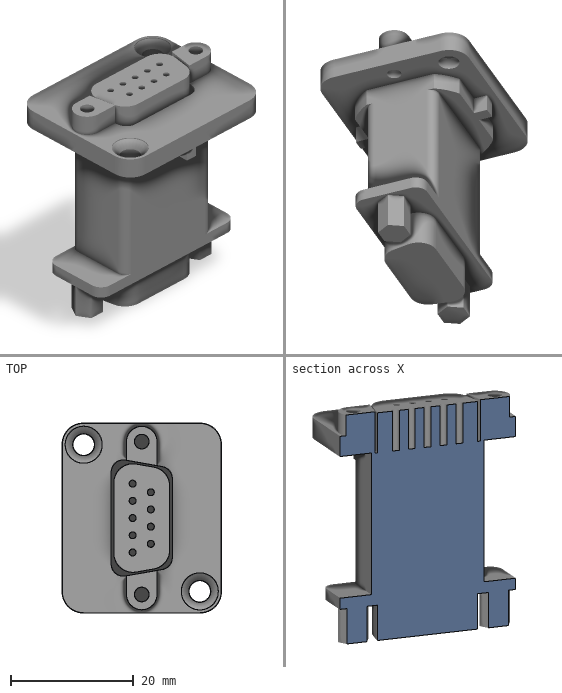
import cadquery as cq
import math

total_height = 39.0

flange_bottom = 6.0
flange_top = 8.0
collar_bottom = 29.05
plate_bottom = 31.98
plate_top = 35.5
insert_top = 38.75

plate_width = 26.0
plate_length = 31.0
plate_corner_radius = 3.5
screw_offset_x = 9.48
screw_offset_y = 11.97
screw_diameter = 3.5
countersink_diameter = 6.05
countersink_angle = 90.0
countersink_rim_depth = 0.15

collar_diameter = 23.32
collar_width = 18.6
key_width = 2.1

housing_width = 12.5
housing_length = 20.0
housing_corner_radius = 1.55
flange_length = 31.0
flange_corner_radius = 2.05

d_taper_angle = 10.0
insert_width = 9.13
insert_mean_length = 17.3
insert_corner_radius = 3.12
opening_width = 10.0
opening_mean_length = 17.98
opening_corner_radius = 2.0

fastener_spacing = 24.95
lug_width = 5.0
lug_hole_diameter = 2.38
hex_across_flats = 4.6

long_row_count = 5
short_row_count = 4
contact_diameter = 1.15
contact_pitch = 2.8
contact_row_spacing = 2.95

fastener_points = [(0, -fastener_spacing / 2), (0, fastener_spacing / 2)]


def level(height):
    """Workplane parallel to XY at the given height."""
    return cq.Workplane("XY", origin=(0, 0, height))


def block(width, length, bottom, top, corner_radius=0):
    """Box centred on the Z axis between two levels, with optional rounded corners."""
    box = level(bottom).rect(width, length).extrude(top - bottom)
    if corner_radius > 0:
        box = box.edges("|Z").fillet(corner_radius)
    return box


def cylinders(points, diameter, bottom, top):
    """Upright cylinders between two levels, one at each point."""
    return level(bottom).pushPoints(points).circle(diameter / 2).extrude(top - bottom)


def d_prism(width, mean_length, corner_radius, bottom, top):
    """Rounded D-shaped prism whose longer straight side faces -X."""
    taper = width / 2 * math.tan(math.radians(d_taper_angle))
    long_half = mean_length / 2 + taper
    short_half = mean_length / 2 - taper
    outline = [
        (-width / 2, -long_half),
        (width / 2, -short_half),
        (width / 2, short_half),
        (-width / 2, long_half),
    ]
    prism = level(bottom).polyline(outline).close().extrude(top - bottom)
    return prism.edges("|Z").fillet(corner_radius)


def make_screw_holes():
    """Through holes with a countersink that starts below a short straight rim."""
    points = [(-screw_offset_x, screw_offset_y), (screw_offset_x, -screw_offset_y)]
    cone_top = plate_top - countersink_rim_depth
    half_angle = math.radians(countersink_angle / 2)
    cone_depth = (countersink_diameter - screw_diameter) / 2 / math.tan(half_angle)
    holes = cylinders(points, screw_diameter, plate_bottom, plate_top)
    holes = holes.union(cylinders(points, countersink_diameter, cone_top, plate_top))
    cones = (
        level(cone_top)
        .pushPoints(points)
        .circle(countersink_diameter / 2)
        .extrude(-cone_depth, taper=countersink_angle / 2)
    )
    return holes.union(cones)


def make_lugs():
    """Round-ended bar across the plate; the D-shaped opening splits it into two lugs."""
    bar = level(plate_top).slot2D(fastener_spacing + lug_width, lug_width, 90)
    return bar.extrude(total_height - plate_top)


def make_panel():
    """Plate and lugs with the screw holes, lug holes and D-shaped opening cut out."""
    plate = block(plate_width, plate_length, plate_bottom, plate_top, plate_corner_radius)
    lug_holes = cylinders(fastener_points, lug_hole_diameter, plate_bottom, total_height)
    opening = d_prism(
        opening_width, opening_mean_length, opening_corner_radius, plate_bottom, total_height
    )
    return plate.union(make_lugs()).cut(make_screw_holes()).cut(lug_holes).cut(opening)


def make_collar():
    flats = block(collar_width, housing_length, collar_bottom, plate_bottom)
    keys = block(collar_diameter, key_width, collar_bottom, plate_bottom)
    disc = cylinders([(0, 0)], collar_diameter, collar_bottom, plate_bottom)
    return flats.union(keys).intersect(disc)


def make_housing():
    return block(housing_width, housing_length, flange_top, collar_bottom, housing_corner_radius)


def make_flange():
    return block(housing_width, flange_length, flange_bottom, flange_top, flange_corner_radius)


def make_hex_posts():
    """Hexagonal posts with two flats facing +X and -X."""
    across_corners = hex_across_flats / math.cos(math.radians(30))
    plane = cq.Plane(origin=(0, 0, 0), xDir=(0, 1, 0), normal=(0, 0, 1))
    points = [(y, x) for x, y in fastener_points]
    return cq.Workplane(plane).pushPoints(points).polygon(6, across_corners).extrude(flange_bottom)


def make_insert(bottom, top):
    return d_prism(insert_width, insert_mean_length, insert_corner_radius, bottom, top)


def make_contact_holes():
    """Two staggered rows of contact holes, as deep as the upper insert."""
    points = []
    rows = [(-contact_row_spacing / 2, long_row_count), (contact_row_spacing / 2, short_row_count)]
    for row_x, count in rows:
        first_y = -contact_pitch * (count - 1) / 2
        points += [(row_x, first_y + i * contact_pitch) for i in range(count)]
    return cylinders(points, contact_diameter, plate_bottom, insert_top)


result = (
    make_panel()
    .union(make_collar())
    .union(make_housing())
    .union(make_flange())
    .union(make_hex_posts())
    .union(make_insert(0, flange_bottom))
    .union(make_insert(plate_bottom, insert_top))
    .cut(make_contact_holes())
)